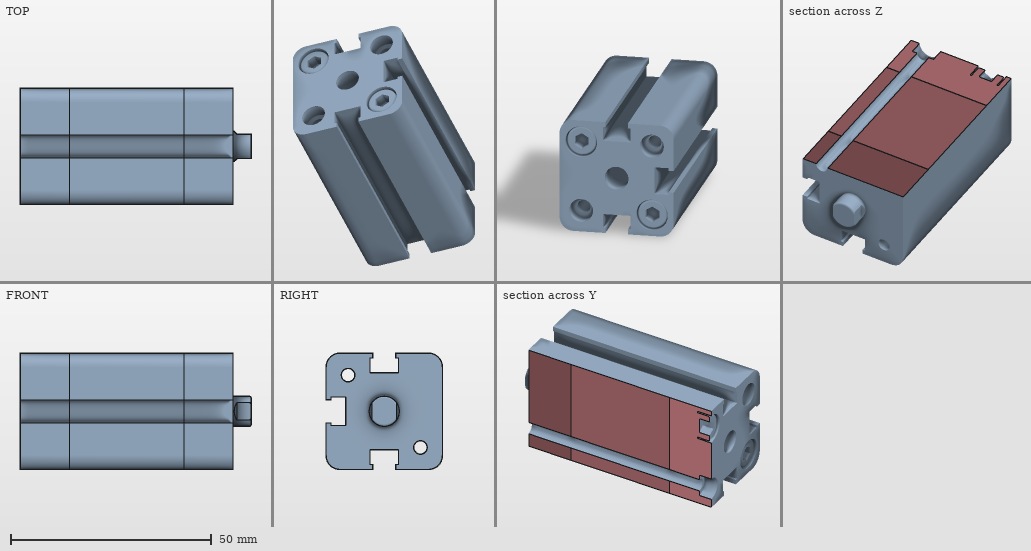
import cadquery as cq
import math

WIDTH = 29.0
CORNER_RADIUS = 3.5
HOUSING_LENGTH = 53.0
CAP_LENGTH = 12.25
BARREL_LENGTH = HOUSING_LENGTH - 2 * CAP_LENGTH

SLOT_OPENING = 5.7
SLOT_WIDTH = 7.0
SLOT_DEPTH = 4.9
SLOT_LIP = 1.3
SLOT_ANGLES = (0, 90, 180)

HOLE_OFFSET = 9.0
FIXING_HOLES = ((-HOLE_OFFSET, HOLE_OFFSET), (HOLE_OFFSET, -HOLE_OFFSET))
SCREW_HEADS = ((HOLE_OFFSET, HOLE_OFFSET), (-HOLE_OFFSET, -HOLE_OFFSET))
THROUGH_DIAMETER = 3.3
FIXING_BORE_DIAMETER = 6.0
FIXING_BORE_DEPTH = 3.5

CENTRE_BORE_DIAMETER = 6.0
CENTRE_BORE_DEPTH = 6.0

RECESS_DIAMETER = 8.0
RECESS_DEPTH = 4.0
HEAD_DIAMETER = 7.5
HEAD_SETBACK = 0.5
HEAD_FILLET = 0.5
SOCKET_WIDTH = 3.5
SOCKET_DEPTH = 3.0

ROD_DIAMETER = 7.5
ROD_LENGTH = 4.5
ROD_COLLAR = 0.25
ROD_FLAT_WIDTH = 6.1
ROD_END_FILLET = 0.5


def cylinder(start, length, diameter, y=0.0, z=0.0):
    """Cylinder along +X, starting at x = start."""
    return cq.Workplane("YZ", origin=(start, y, z)).circle(diameter / 2).extrude(length)


def make_slot(start, length):
    """Solid that fills the slot of the +Z side."""
    floor = cq.Workplane("XY", origin=(start, 0, WIDTH / 2 - SLOT_DEPTH))
    from_corner = (False, True, False)
    opening = floor.box(length, SLOT_OPENING, SLOT_DEPTH, from_corner)
    undercut = floor.box(length, SLOT_WIDTH, SLOT_DEPTH - SLOT_LIP, from_corner)
    return opening.union(undercut)


def make_section(start, length):
    """One length of the housing: rounded square with three slots and two through holes."""
    section = cq.Workplane("YZ", origin=(start, 0, 0)).rect(WIDTH, WIDTH).extrude(length)
    section = section.edges("|X").fillet(CORNER_RADIUS)
    slot = make_slot(start, length)
    for angle in SLOT_ANGLES:
        section = section.cut(slot.rotate((0, 0, 0), (1, 0, 0), angle))
    for y, z in FIXING_HOLES:
        section = section.cut(cylinder(start, length, THROUGH_DIAMETER, y, z))
    return section


def make_screw_head(y, z):
    """Rounded head with a hexagon socket, standing on the floor of its recess."""
    head = cylinder(HEAD_SETBACK, RECESS_DEPTH - HEAD_SETBACK, HEAD_DIAMETER, y, z)
    head = head.faces("<X").edges().fillet(HEAD_FILLET)
    socket = (
        cq.Workplane("YZ", origin=(HEAD_SETBACK, y, z))
        .transformed(rotate=(0, 0, 90))
        .polygon(6, SOCKET_WIDTH / math.cos(math.pi / 6))
        .extrude(SOCKET_DEPTH)
    )
    return head.cut(socket)


def make_end_cap():
    cap = make_section(0, CAP_LENGTH)
    cap = cap.cut(cylinder(0, CENTRE_BORE_DEPTH, CENTRE_BORE_DIAMETER))
    for y, z in FIXING_HOLES:
        cap = cap.cut(cylinder(0, FIXING_BORE_DEPTH, FIXING_BORE_DIAMETER, y, z))
    for y, z in SCREW_HEADS:
        cap = cap.cut(cylinder(0, RECESS_DEPTH, RECESS_DIAMETER, y, z))
        cap = cap.union(make_screw_head(y, z))
    return cap


def make_rod():
    rod = cylinder(HOUSING_LENGTH, ROD_LENGTH, ROD_DIAMETER)
    rod = rod.faces(">X").edges().fillet(ROD_END_FILLET)
    radius = ROD_DIAMETER / 2
    flat_y = ROD_FLAT_WIDTH / 2
    ramp_start = HOUSING_LENGTH + ROD_COLLAR
    ramp_end = ramp_start + radius - flat_y
    tip = HOUSING_LENGTH + ROD_LENGTH
    for side in (-1, 1):
        flat = (
            cq.Workplane("XY")
            .moveTo(ramp_start, side * radius)
            .lineTo(ramp_end, side * flat_y)
            .lineTo(tip, side * flat_y)
            .lineTo(tip, side * radius)
            .close()
            .extrude(radius, both=True)
        )
        rod = rod.cut(flat)
    return rod


end_cap = make_end_cap()
barrel = make_section(CAP_LENGTH, BARREL_LENGTH)
bearing_cap = make_section(CAP_LENGTH + BARREL_LENGTH, CAP_LENGTH)
piston_rod = make_rod()

bodies = (end_cap, barrel, bearing_cap, piston_rod)
result = cq.Compound.makeCompound([body.solids().val() for body in bodies])